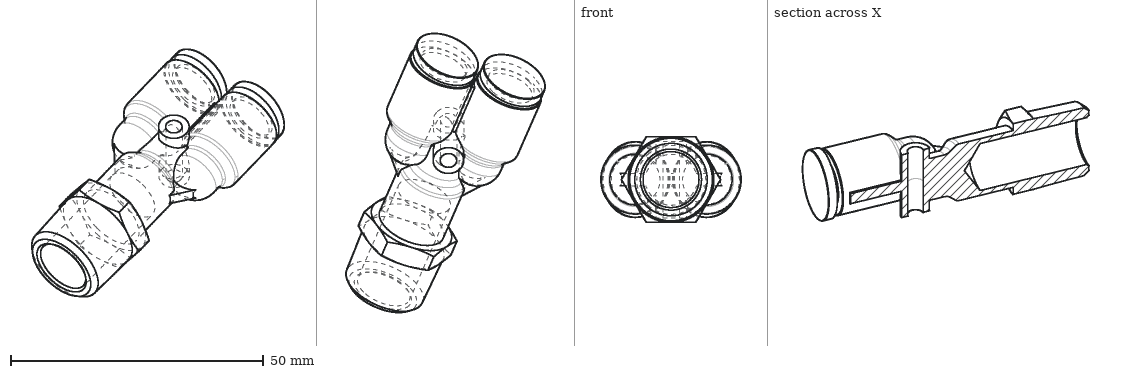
import cadquery as cq
import math

length = 56.1

thread_length = 12.05
thread_tip_radius = 8.2
tip_chamfer_length = 1.1
tip_chamfer_radius = 7.2

hex_across_flats = 17.0
hex_length = 4.45
hex_chamfer_height = 0.5

bore_radius = 5.55
bore_mouth_radius = 6.05
bore_depth = 23.55
drill_point_half_angle = 59.0

body_radius = 6.85
neck_radius = 5.05
stem_end_y = 28.55
shoulder_length = 2.0
shoulder_edge_round = 1.0
shoulder_root_round = 2.0

overall_width = 27.8
socket_spacing = overall_width - 2 * body_radius
socket_face_y = 53.2
socket_face_chamfer = 0.15
socket_shoulder_y = 39.6
dome_y = 35.05

ring_length = 1.9
ring_width = 13.05
ring_height = 15.05
ring_edge_chamfer = 0.1
collar_radius = 4.8

boss_y = 37.55
boss_radius = 3.05
boss_height = 15.1
boss_hole_radius = 1.6

web_thickness = 2.5
web_top_y = 51.6
web_corner_x = 10.65
web_corner_y = 32.0
web_foot_x = 6.75
web_foot_y = 26.9

thread_root_radius = hex_across_flats / 2
hex_start_y = thread_length
hex_end_y = hex_start_y + hex_length
shoulder_end_y = stem_end_y + shoulder_length
socket_root_y = socket_shoulder_y - shoulder_length


def revolve_about_y(profile):
    """Turn a closed profile of radius (X) against Y about the Y axis."""
    return profile.revolve(360, (0, 0, 0), (0, 1, 0))


def cylinder_along_y(radius, start_y, end_y):
    return cq.Workplane("XZ", origin=(0, start_y, 0)).circle(radius).extrude(start_y - end_y)


def circle_edges_at(y, radius):
    """Box that selects the full circular edge of the given radius at position y."""
    margin = 0.05
    reach = radius + margin
    low_corner = (-reach, y - margin, -reach)
    high_corner = (reach, y + margin, reach)
    return cq.selectors.BoxSelector(low_corner, high_corner, boundingbox=True)


def make_stem():
    stem = revolve_about_y(
        cq.Workplane("XY")
        .moveTo(0, hex_start_y)
        .lineTo(body_radius, hex_start_y)
        .lineTo(body_radius, stem_end_y)
        .lineTo(neck_radius, shoulder_end_y)
        .lineTo(neck_radius, boss_y)
        .lineTo(0, boss_y)
        .close()
    )
    stem = stem.edges(circle_edges_at(stem_end_y, body_radius)).fillet(shoulder_edge_round)
    return stem.edges(circle_edges_at(shoulder_end_y, neck_radius)).fillet(shoulder_root_round)


def make_thread():
    return revolve_about_y(
        cq.Workplane("XY")
        .lineTo(tip_chamfer_radius, 0)
        .lineTo(thread_tip_radius, tip_chamfer_length)
        .lineTo(thread_root_radius, thread_length)
        .lineTo(0, thread_length)
        .close()
    )


def make_hexagon():
    """Hexagon with flats on +Z and -Z and turned chamfers on both end faces."""
    flat_radius = hex_across_flats / 2
    corner_radius = flat_radius / math.cos(math.radians(30))
    prism = (
        cq.Workplane("XZ", origin=(0, hex_start_y, 0))
        .polygon(6, 2 * corner_radius)
        .extrude(-hex_length)
    )
    turned_blank = revolve_about_y(
        cq.Workplane("XY")
        .moveTo(0, hex_start_y)
        .lineTo(flat_radius, hex_start_y)
        .lineTo(corner_radius, hex_start_y + hex_chamfer_height)
        .lineTo(corner_radius, hex_end_y - hex_chamfer_height)
        .lineTo(flat_radius, hex_end_y)
        .lineTo(0, hex_end_y)
        .close()
    )
    return prism.intersect(turned_blank)


def make_socket(center_x):
    """One branch: domed root, shoulder, socket body, collar and oval release ring."""
    diagonal = neck_radius * math.sqrt(0.5)
    body = revolve_about_y(
        cq.Workplane("XY")
        .moveTo(0, dome_y - neck_radius)
        .threePointArc((diagonal, dome_y - diagonal), (neck_radius, dome_y))
        .lineTo(neck_radius, socket_root_y)
        .lineTo(body_radius, socket_shoulder_y)
        .lineTo(body_radius, socket_face_y)
        .lineTo(0, socket_face_y)
        .close()
    )
    for y, radius in ((socket_root_y, neck_radius), (socket_shoulder_y, body_radius)):
        body = body.edges(circle_edges_at(y, radius)).fillet(shoulder_edge_round)
    body = body.faces(">Y").edges().chamfer(socket_face_chamfer)

    ring_start_y = length - ring_length
    collar = cylinder_along_y(collar_radius, socket_face_y, ring_start_y)
    ring = (
        cq.Workplane("XZ", origin=(0, ring_start_y, 0))
        .ellipse(ring_width / 2, ring_height / 2)
        .extrude(-ring_length)
        .faces(">Y")
        .edges()
        .chamfer(ring_edge_chamfer)
    )
    return body.union(collar).union(ring).translate((center_x, 0, 0))


def make_web():
    """Flat plate filling the gap between the sockets and flaring down to the stem."""
    half_spacing = socket_spacing / 2
    right_side = [
        (half_spacing, web_top_y),
        (half_spacing, dome_y),
        (web_corner_x, web_corner_y),
        (web_foot_x, web_foot_y),
    ]
    left_side = [(-x, y) for x, y in reversed(right_side)]
    return cq.Workplane("XY").polyline(right_side + left_side).close().extrude(web_thickness / 2, both=True)


def make_boss(radius):
    return cq.Workplane("XY").center(0, boss_y).circle(radius).extrude(boss_height / 2, both=True)


def make_bore():
    mouth_depth = bore_mouth_radius - bore_radius
    point_length = bore_radius / math.tan(math.radians(drill_point_half_angle))
    return revolve_about_y(
        cq.Workplane("XY")
        .lineTo(bore_mouth_radius, 0)
        .lineTo(bore_radius, mouth_depth)
        .lineTo(bore_radius, bore_depth)
        .lineTo(0, bore_depth + point_length)
        .close()
    )


result = make_stem().union(make_thread()).union(make_hexagon()).union(make_web())
for side in (-1, 1):
    result = result.union(make_socket(side * socket_spacing / 2))
result = result.union(make_boss(boss_radius))
result = result.cut(make_boss(boss_hole_radius)).cut(make_bore())